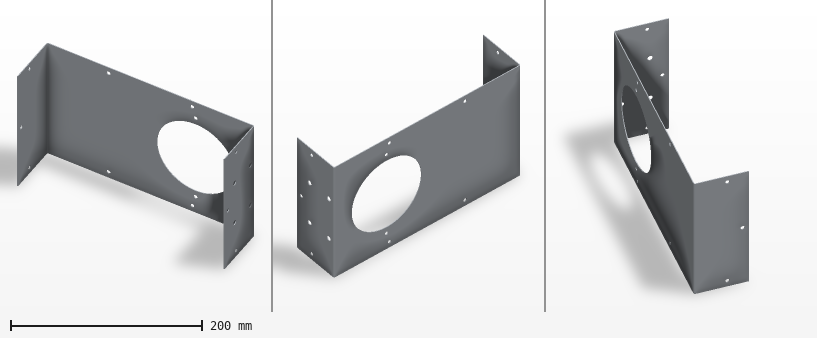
import cadquery as cq

width = 252.0
depth = 61.0
height = 155.0
thickness = 1.0
bend_inner_radius = 1.0
bend_outer_radius = bend_inner_radius + thickness

small_diameter = 4.5
opening_diameter = 94.0
opening_x = 55.0
opening_screw_z = 55.5
mount_x = 51.0
edge_hole_z = 69.5

edge_hole_setback = 24.0
middle_hole_setback = 7.0
large_diameter = 6.0
large_front_setback = 20.7
large_pitch_y = 31.8
large_pitch_z = 56.0

front_y = -depth / 2
back_y = depth / 2


def bent_sheet():
    """U-shaped sheet with concentric rounded bends."""
    outer = cq.Workplane("XY").box(width, depth, height)
    outer = outer.edges("|Z and >Y").fillet(bend_outer_radius)
    inner = cq.Workplane("XY").box(width - 2 * thickness, depth, height)
    inner = inner.edges("|Z and >Y").fillet(bend_inner_radius)
    return outer.cut(inner.translate((0, -thickness, 0)))


def panel_holes(points, diameter):
    """Cutters through the back panel at (x, z) points."""
    plane = cq.Workplane("XZ", origin=(0, back_y, 0))
    return plane.pushPoints(points).circle(diameter / 2).extrude(2 * thickness, both=True)


def flange_holes(points, diameter, flange_x):
    """Cutters through the flange at flange_x, at (y, z) points."""
    plane = cq.Workplane("YZ", origin=(flange_x, 0, 0))
    return plane.pushPoints(points).circle(diameter / 2).extrude(2 * thickness, both=True)


result = bent_sheet()

panel_points = [(x, z) for x in (-mount_x, mount_x) for z in (-edge_hole_z, edge_hole_z)]
panel_points += [(opening_x, z) for z in (-opening_screw_z, opening_screw_z)]
result = result.cut(panel_holes([(opening_x, 0)], opening_diameter))
result = result.cut(panel_holes(panel_points, small_diameter))

flange_points = [(front_y + edge_hole_setback, z) for z in (-edge_hole_z, edge_hole_z)]
flange_points.append((front_y + middle_hole_setback, 0))
for flange_x in (-width / 2, width / 2):
    result = result.cut(flange_holes(flange_points, small_diameter, flange_x))

large_front_y = front_y + large_front_setback
large_points = [
    (y, z)
    for y in (large_front_y, large_front_y + large_pitch_y)
    for z in (-large_pitch_z / 2, large_pitch_z / 2)
]
result = result.cut(flange_holes(large_points, large_diameter, width / 2))